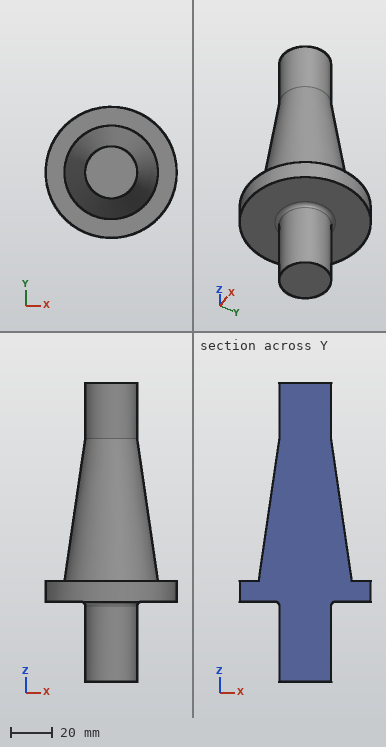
import cadquery as cq
import math

OVERALL_LENGTH = 143.4
GAUGE_TO_TOP = 93.4
GAUGE_TO_FLANGE = 1.6
FLANGE_THICKNESS = 10.0

SHANK_DIAMETER = 25.0
GAUGE_DIAMETER = 44.45
FLANGE_DIAMETER = 63.0

TAPER_RATIO = 7 / 24
FILLET_RADIUS = 2.0

shank_radius = SHANK_DIAMETER / 2
flange_radius = FLANGE_DIAMETER / 2
cone_base_radius = (GAUGE_DIAMETER + TAPER_RATIO * GAUGE_TO_FLANGE) / 2
cone_length = (cone_base_radius - shank_radius) * 2 / TAPER_RATIO

flange_top = OVERALL_LENGTH - GAUGE_TO_TOP - GAUGE_TO_FLANGE
flange_bottom = flange_top - FLANGE_THICKNESS
cone_top = flange_top + cone_length


def make_arbor():
    """Revolve the half profile (radius, height) about the Z axis."""
    fillet_end = (shank_radius + FILLET_RADIUS, flange_bottom)
    fillet_offset = FILLET_RADIUS * (1 - math.sqrt(0.5))
    fillet_middle = (shank_radius + fillet_offset, flange_bottom - fillet_offset)
    profile = (
        cq.Workplane("XZ")
        .moveTo(0, 0)
        .lineTo(shank_radius, 0)
        .lineTo(shank_radius, flange_bottom - FILLET_RADIUS)
        .threePointArc(fillet_middle, fillet_end)
        .lineTo(flange_radius, flange_bottom)
        .lineTo(flange_radius, flange_top)
        .lineTo(cone_base_radius, flange_top)
        .lineTo(shank_radius, cone_top)
        .lineTo(shank_radius, OVERALL_LENGTH)
        .lineTo(0, OVERALL_LENGTH)
        .close()
    )
    return profile.revolve(360, (0, 0, 0), (0, 1, 0))


result = make_arbor()